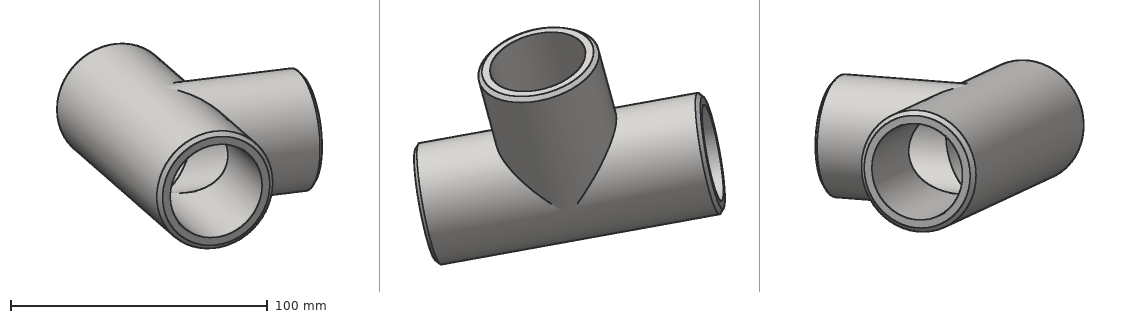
import cadquery as cq

run_length = 114.3
outer_diameter = 48.2
bore_diameter = 38.2
bevel_length = 1.6
bevel_depth = 1.8

outer_radius = outer_diameter / 2
bore_radius = bore_diameter / 2
half_run = run_length / 2
branch_length = half_run


def bevelled_arm(angle, length):
    """Solid arm from the tee centre, turned from +X by angle degrees about Z."""
    profile = [
        (0, 0),
        (length, 0),
        (length, outer_radius - bevel_depth),
        (length - bevel_length, outer_radius),
        (0, outer_radius),
    ]
    arm = cq.Workplane("XY").polyline(profile).close().revolve(360, (0, 0, 0), (1, 0, 0))
    return arm.rotate((0, 0, 0), (0, 0, 1), angle)


run = bevelled_arm(0, half_run).union(bevelled_arm(180, half_run))
body = run.union(bevelled_arm(90, branch_length))

run_bore = cq.Workplane("YZ").circle(bore_radius).extrude(half_run, both=True)
branch_bore = cq.Workplane("XZ").circle(bore_radius).extrude(-branch_length)

result = body.cut(run_bore).cut(branch_bore).clean()